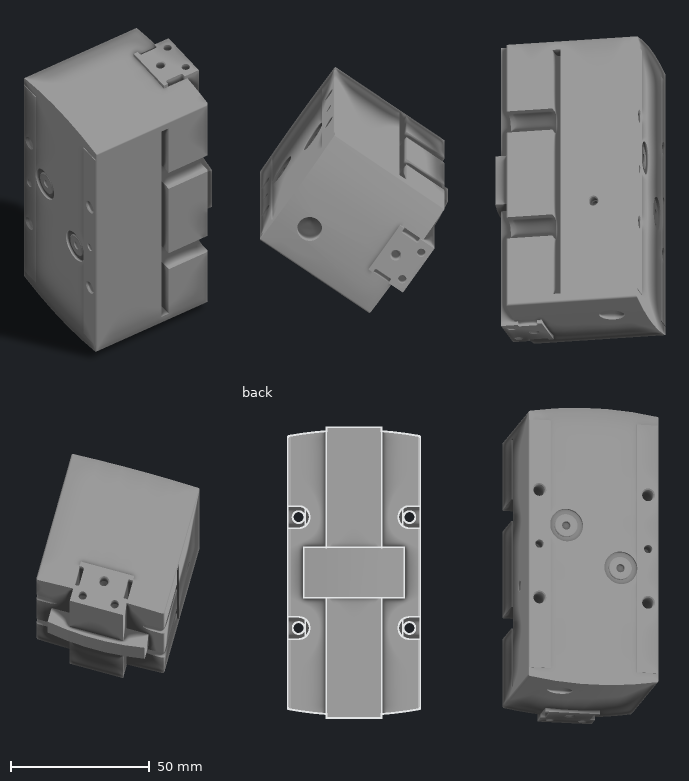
import cadquery as cq
import math


WIDTH = 48.0
DEPTH = 48.5
APEX_HEIGHT = 51.5
CORNER_HEIGHT = 49.2
EDGE_RADIUS = 0.8

PAD_RISE = 0.2
PAD_INNER_X = 16.0
PAD_HALF_LENGTH = 46.1

BOLT_PITCH_X = 40.0
BOLT_PITCH_Z = 40.0
BOLT_DIAMETER = 4.2
BOLT_RIM_DIAMETER = 5.0
BOLT_HEAD_DIAMETER = 8.0
PIN_DIAMETER = 3.0
PIN_DEPTH = 6.3
SLOT_FLOOR_SIDE_Y = 28.4
SLOT_WIDTH = 3.0
SLOT_DEPTH = 7.9
SLOT_BACK_Y = SLOT_FLOOR_SIDE_Y + SLOT_WIDTH

SIDE_PORT_Y = 16.4
SIDE_PORT_Z = -12.0
SIDE_PORT_RIM_DIAMETER = 4.0
SIDE_PORT_DIAMETER = 3.3
SIDE_PORT_DEPTH = 4.2
SIDE_PORT_PILOT_DIAMETER = 2.4
SIDE_PORT_PILOT_DEPTH = 6.3
END_PORT_X = -10.0
END_PORT_Y = 12.5
END_PORT_DIAMETER = 9.0
END_PORT_DEPTH = 8.4

INSERT_X = 10.0
INSERT_Z = 7.5
INSERT_DIAMETER = 12.1
INSERT_RECESS = 1.0
INSERT_FLANGE = 2.1
INSERT_BOSS_DIAMETER = 8.5
INSERT_BOSS_TOP_DIAMETER = 8.0
INSERT_BOSS_HEIGHT = 0.5
INSERT_HOLE_DIAMETER = 3.0
INSERT_HOLE_DEPTH = 1.6

JAW_WIDTH = 20.0
JAW_DEPTH = 15.0
JAW_BACK_Y = 53.4
JAW_END_Z = 52.5
JAW_FRONT_Y = JAW_BACK_Y - JAW_DEPTH
GROOVE_DEPTH = 1.8
GROOVE_WIDTH = 7.1
GROOVE_FROM_BACK = 6.1
GROOVE_RADIUS = 0.6
JAW_PIN_PITCH = 12.0
JAW_PIN_FROM_BACK = 3.0
JAW_HOLE_DEPTH = 6.3
JAW_SCREW_FROM_BACK = 10.1
JAW_SCREW_DIAMETER = 3.3
JAW_SCREW_RIM_DIAMETER = 4.0

COVER_WIDTH = 36.3
COVER_LENGTH = 18.3
COVER_EDGE_Y = 53.8
COVER_APEX_Y = 55.3

DRILL_TIP_ANGLE = 118.0


def box(x_min, x_max, y_min, y_max, z_min, z_max):
    """Box given by its limits on each axis."""
    size = cq.Workplane("XY").box(x_max - x_min, y_max - y_min, z_max - z_min, centered=False)
    return size.translate((x_min, y_min, z_min))


def drill(point, direction, diameter, depth, rim_diameter=None, pointed=True):
    """Cutter for a blind hole entered at point along direction, with an optional 45 degree rim."""
    radius = diameter / 2
    rim_radius = (rim_diameter or diameter) / 2
    rim_depth = rim_radius - radius
    profile = cq.Workplane("XZ").moveTo(0, 0).lineTo(rim_radius, 0)
    if rim_depth > 0:
        profile = profile.lineTo(radius, rim_depth)
    profile = profile.lineTo(radius, depth)
    tip = radius / math.tan(math.radians(DRILL_TIP_ANGLE / 2)) if pointed else 0
    cutter = profile.lineTo(0, depth + tip).close().revolve(360, (0, 0, 0), (0, 1, 0))
    across = (0, 1, 0) if direction[0] or direction[2] else (1, 0, 0)
    place = cq.Plane(origin=point, xDir=across, normal=direction)
    return cq.Workplane(cutter.val().moved(cq.Location(place)))


def housing_block():
    """Block with crowned ends, raised pads and rounded edges around both side faces."""
    half = WIDTH / 2
    block = (
        cq.Workplane("XZ")
        .moveTo(-half, -CORNER_HEIGHT)
        .threePointArc((0, -APEX_HEIGHT), (half, -CORNER_HEIGHT))
        .lineTo(half, CORNER_HEIGHT)
        .threePointArc((0, APEX_HEIGHT), (-half, CORNER_HEIGHT))
        .close()
        .extrude(-DEPTH)
    )
    block = block.faces("<X or >X").edges().fillet(EDGE_RADIUS)
    shaving = box(-half, half, 0, PAD_RISE, -APEX_HEIGHT, APEX_HEIGHT)
    for side in (-1, 1):
        pad = (
            cq.Workplane("XY")
            .moveTo(side * half, 0)
            .lineTo(side * PAD_INNER_X, 0)
            .lineTo(side * (PAD_INNER_X - PAD_RISE), PAD_RISE)
            .lineTo(side * half, PAD_RISE)
            .close()
            .extrude(PAD_HALF_LENGTH, both=True)
        )
        shaving = shaving.cut(pad)
    return block.cut(shaving)


def cut_mounting(body):
    """Through bolts with head pockets open to the sides, and a locating pin hole in each pad."""
    for side in (-1, 1):
        x = side * BOLT_PITCH_X / 2
        body = body.cut(drill((x, 0, 0), (0, 1, 0), PIN_DIAMETER, PIN_DEPTH))
        for end in (-1, 1):
            z = end * BOLT_PITCH_Z / 2
            body = body.cut(
                drill((x, 0, z), (0, 1, 0), BOLT_DIAMETER, DEPTH, BOLT_RIM_DIAMETER)
            )
            radius = BOLT_HEAD_DIAMETER / 2
            pocket = cq.Workplane("XZ", origin=(x, SLOT_BACK_Y, z)).circle(radius).extrude(SLOT_BACK_Y - DEPTH)
            x_limits = sorted((x, side * WIDTH / 2))
            mouth = box(*x_limits, SLOT_BACK_Y, DEPTH, z - radius, z + radius)
            body = body.cut(pocket).cut(mouth)
    return body


def cut_side_slots(body):
    """Round-bottomed sensor slot along each side face."""
    radius = SLOT_WIDTH / 2
    floor_centre = WIDTH / 2 - SLOT_DEPTH + radius
    for side in (-1, 1):
        slot = (
            cq.Workplane("XY")
            .moveTo(side * WIDTH / 2, SLOT_FLOOR_SIDE_Y)
            .lineTo(side * floor_centre, SLOT_FLOOR_SIDE_Y)
            .threePointArc(
                (side * (floor_centre - radius), SLOT_FLOOR_SIDE_Y + radius),
                (side * floor_centre, SLOT_BACK_Y),
            )
            .lineTo(side * WIDTH / 2, SLOT_BACK_Y)
            .close()
            .extrude(PAD_HALF_LENGTH, both=True)
        )
        body = body.cut(slot)
    return body


def cut_ports(body):
    """Stepped port in the -X side and a port in the lower crowned end."""
    side_entry = (-WIDTH / 2, SIDE_PORT_Y, SIDE_PORT_Z)
    inward = (1, 0, 0)
    body = body.cut(
        drill(side_entry, inward, SIDE_PORT_DIAMETER, SIDE_PORT_DEPTH, SIDE_PORT_RIM_DIAMETER, pointed=False)
    )
    body = body.cut(drill(side_entry, inward, SIDE_PORT_PILOT_DIAMETER, SIDE_PORT_PILOT_DEPTH))
    end_entry = (END_PORT_X, END_PORT_Y, -APEX_HEIGHT)
    return body.cut(drill(end_entry, (0, 0, 1), END_PORT_DIAMETER, END_PORT_DEPTH))


def make_housing():
    """Housing with its mounting features, ports, jaw channel and insert recesses."""
    body = cut_ports(cut_side_slots(cut_mounting(housing_block())))
    channel = box(-JAW_WIDTH / 2, JAW_WIDTH / 2, JAW_FRONT_Y, DEPTH, -APEX_HEIGHT, APEX_HEIGHT)
    body = body.cut(channel)
    for side in (-1, 1):
        recess = (
            cq.Workplane("XZ", origin=(side * INSERT_X, 0, -side * INSERT_Z))
            .circle(INSERT_DIAMETER / 2)
            .extrude(-(PAD_RISE + INSERT_RECESS + INSERT_FLANGE))
        )
        body = body.cut(recess)
    return body


def make_insert(side):
    """Flanged port insert with a chamfered boss and a blind centre hole."""
    face_y = PAD_RISE + INSERT_RECESS
    boss_y = face_y - INSERT_BOSS_HEIGHT
    x = side * INSERT_X
    z = -side * INSERT_Z
    flange = (
        cq.Workplane("XZ", origin=(x, face_y, z)).circle(INSERT_DIAMETER / 2).extrude(-INSERT_FLANGE)
    )
    boss = (
        cq.Workplane("XZ", origin=(x, face_y, z))
        .circle(INSERT_BOSS_DIAMETER / 2)
        .extrude(INSERT_BOSS_HEIGHT)
        .faces("<Y")
        .chamfer((INSERT_BOSS_DIAMETER - INSERT_BOSS_TOP_DIAMETER) / 2)
    )
    hole = drill((x, boss_y, z), (0, 1, 0), INSERT_HOLE_DIAMETER, INSERT_HOLE_DEPTH, pointed=False)
    return flange.union(boss).cut(hole)


def make_jaw(end):
    """Sliding jaw with grooved sides and its tool holes, at the +Z or -Z end."""
    half = JAW_WIDTH / 2
    z_limits = sorted((end * COVER_LENGTH / 2, end * JAW_END_Z))
    jaw = box(-half, half, JAW_FRONT_Y, JAW_BACK_Y, *z_limits)
    groove_top = JAW_BACK_Y - GROOVE_FROM_BACK
    for side in (-1, 1):
        groove = box(
            side * half - GROOVE_DEPTH, side * half + GROOVE_DEPTH,
            groove_top - GROOVE_WIDTH, groove_top, *z_limits,
        )
        jaw = jaw.cut(groove.edges("|Z").fillet(GROOVE_RADIUS))
        pin_point = (side * JAW_PIN_PITCH / 2, JAW_BACK_Y - JAW_PIN_FROM_BACK, end * JAW_END_Z)
        jaw = jaw.cut(drill(pin_point, (0, 0, -end), PIN_DIAMETER, JAW_HOLE_DEPTH))
    screw_point = (0, JAW_BACK_Y - JAW_SCREW_FROM_BACK, end * JAW_END_Z)
    return jaw.cut(
        drill(screw_point, (0, 0, -end), JAW_SCREW_DIAMETER, JAW_HOLE_DEPTH, JAW_SCREW_RIM_DIAMETER)
    )


def make_cover():
    """Crowned centre cover between the jaws."""
    half = COVER_WIDTH / 2
    return (
        cq.Workplane("XY")
        .moveTo(-half, DEPTH)
        .lineTo(half, DEPTH)
        .lineTo(half, COVER_EDGE_Y)
        .threePointArc((0, COVER_APEX_Y), (-half, COVER_EDGE_Y))
        .close()
        .extrude(COVER_LENGTH / 2, both=True)
    )


housing = make_housing()
cover = make_cover()
jaws = [make_jaw(end) for end in (-1, 1)]
inserts = [make_insert(side) for side in (-1, 1)]

result = cq.Compound.makeCompound(
    [housing.val(), cover.val(), *[jaw.val() for jaw in jaws], *[insert.val() for insert in inserts]]
)